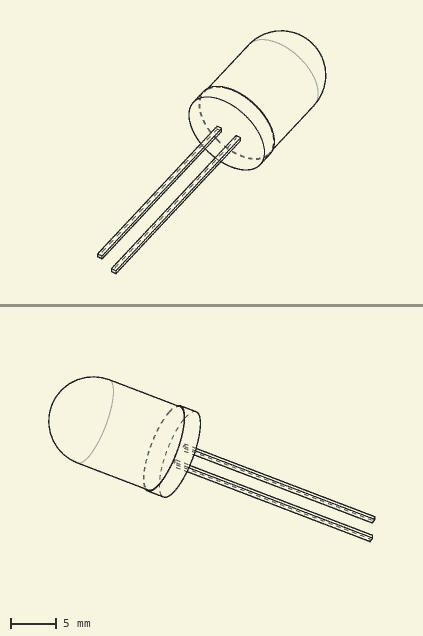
import cadquery as cq

overall_length = 40.05
flange_radius = 5.05
flange_thickness = 1.95
lens_radius = 4.93
lens_straight_length = 8.75

lead_width = 0.6
lead_height = 0.5
lead_pitch = 2.52
short_lead_x = -0.95
lead_center_z = 0.2
short_lead_setback = 1.0

dome_start = flange_thickness + lens_straight_length
long_lead_length = overall_length - dome_start - lens_radius
short_lead_length = long_lead_length - short_lead_setback


def make_lens():
    """Flanged, dome-ended body, revolved about the Y axis."""
    profile = (
        cq.Workplane("XY")
        .lineTo(flange_radius, 0)
        .lineTo(flange_radius, flange_thickness)
        .lineTo(lens_radius, flange_thickness)
        .lineTo(lens_radius, dome_start)
        .radiusArc((0, dome_start + lens_radius), -lens_radius)
        .close()
    )
    return profile.revolve(360, (0, 0, 0), (0, 1, 0))


def make_lead(center_x, length):
    """Rectangular lead that butts against the flange face."""
    return (
        cq.Workplane("XY")
        .box(lead_width, length, lead_height)
        .translate((center_x, -length / 2, lead_center_z))
    )


lens = make_lens()

leads = []
for index, length in enumerate([short_lead_length, long_lead_length]):
    lead = make_lead(short_lead_x + index * lead_pitch, length)
    leads.append(lead.val())

result = cq.Compound.makeCompound([lens.val(), *leads])